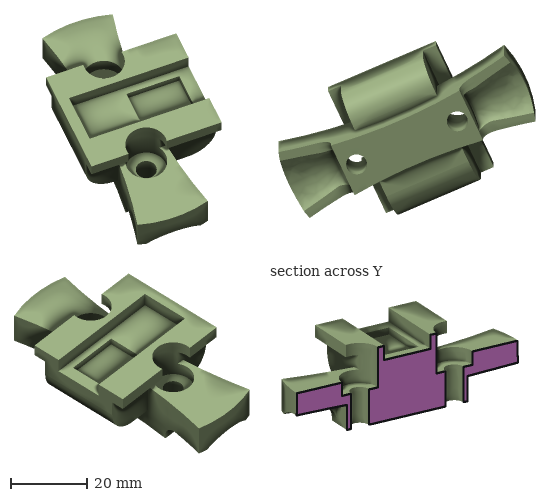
import cadquery as cq
import math


total_height = 21.6
wing_top = 14.0
wing_bottom = 5.0

end_radius = 34.0
wing_end_half_width = 10.0
waist_half_width = 6.4

foot_half_length = 18.5
foot_edge_height = 1.0
foot_blend_radius = wing_bottom - foot_edge_height

block_front = -16.0
block_back = 21.0
flange_width = 31.0
flange_thickness = 3.5
stem_width = 23.6
stem_bottom = 5.6
stem_round_radius = 8.0

slot_width = 14.1
slot_depth = 4.0
slot_front_wall = 3.0
pocket_width = 10.2
pocket_length = 15.0
pocket_depth = 2.0
pocket_back_margin = 3.5

hole_spacing = 29.0
hole_diameter = 5.5
counterbore_diameter = 11.0
counterbore_floor = 10.2

scoop_inner_radius = 5.1
scoop_inner_top = 7.2
scoop_outer_radius = 13.0
scoop_outer_top = 7.6


def make_box(x_min, x_max, y_min, y_max, z_min, z_max):
    size = (x_max - x_min, y_max - y_min, z_max - z_min)
    return cq.Workplane("XY").box(*size, centered=False).translate((x_min, y_min, z_min))


def make_wings():
    """Waisted plate down to the foot, its ends trimmed to the foot profile."""
    corner_x = math.sqrt(end_radius**2 - wing_end_half_width**2)
    plate = (
        cq.Workplane("XY")
        .moveTo(-corner_x, -wing_end_half_width)
        .threePointArc((0, -waist_half_width), (corner_x, -wing_end_half_width))
        .threePointArc((end_radius, 0), (corner_x, wing_end_half_width))
        .threePointArc((0, waist_half_width), (-corner_x, wing_end_half_width))
        .threePointArc((-end_radius, 0), (-corner_x, -wing_end_half_width))
        .close()
        .extrude(wing_top)
    )
    blend_end = foot_half_length + foot_blend_radius
    foot_profile = (
        cq.Workplane("XZ")
        .moveTo(-foot_half_length, 0)
        .lineTo(foot_half_length, 0)
        .lineTo(foot_half_length, foot_edge_height)
        .radiusArc((blend_end, wing_bottom), foot_blend_radius)
        .lineTo(end_radius, wing_bottom)
        .lineTo(end_radius, wing_top)
        .lineTo(-end_radius, wing_top)
        .lineTo(-end_radius, wing_bottom)
        .lineTo(-blend_end, wing_bottom)
        .radiusArc((-foot_half_length, foot_edge_height), foot_blend_radius)
        .close()
        .extrude(wing_end_half_width, both=True)
    )
    return plate.intersect(foot_profile)


def make_scoop():
    """Tapered round cutter under the +X wing, widening toward the wing end."""
    inner_center_z = scoop_inner_top - scoop_inner_radius
    outer_center_z = scoop_outer_top - scoop_outer_radius
    return (
        cq.Workplane("YZ", origin=(foot_half_length, 0, 0))
        .center(0, inner_center_z)
        .circle(scoop_inner_radius)
        .workplane(offset=end_radius - foot_half_length)
        .center(0, outer_center_z - inner_center_z)
        .circle(scoop_outer_radius)
        .loft(ruled=True)
    )


def make_block():
    """Flange on a narrower stem whose lower front and back edges are rounded."""
    stem = make_box(-stem_width / 2, stem_width / 2, block_front, block_back, stem_bottom, total_height)
    stem = stem.edges("|X and <Z").fillet(stem_round_radius)
    flange = make_box(
        -flange_width / 2, flange_width / 2, block_front, block_back,
        total_height - flange_thickness, total_height,
    )
    return stem.union(flange)


def make_slot():
    """Open slot together with the pocket in its floor."""
    slot_floor = total_height - slot_depth
    slot = make_box(
        -slot_width / 2, slot_width / 2, block_front + slot_front_wall, block_back,
        slot_floor, total_height,
    )
    pocket_back = block_back - pocket_back_margin
    pocket = make_box(
        -pocket_width / 2, pocket_width / 2, pocket_back - pocket_length, pocket_back,
        slot_floor - pocket_depth, total_height,
    )
    return slot.union(pocket)


def make_screw_hole():
    """Through hole with a counterbore open to the top."""
    hole = cq.Workplane("XY").circle(hole_diameter / 2).extrude(total_height)
    counterbore = (
        cq.Workplane("XY", origin=(0, 0, counterbore_floor))
        .circle(counterbore_diameter / 2)
        .extrude(total_height - counterbore_floor)
    )
    return hole.union(counterbore)


wings = make_wings()
scoop = make_scoop()
wings = wings.cut(scoop).cut(scoop.mirror("YZ"))

result = wings.union(make_block()).cut(make_slot())
for side in (-1, 1):
    result = result.cut(make_screw_hole().translate((side * hole_spacing / 2, 0, 0)))